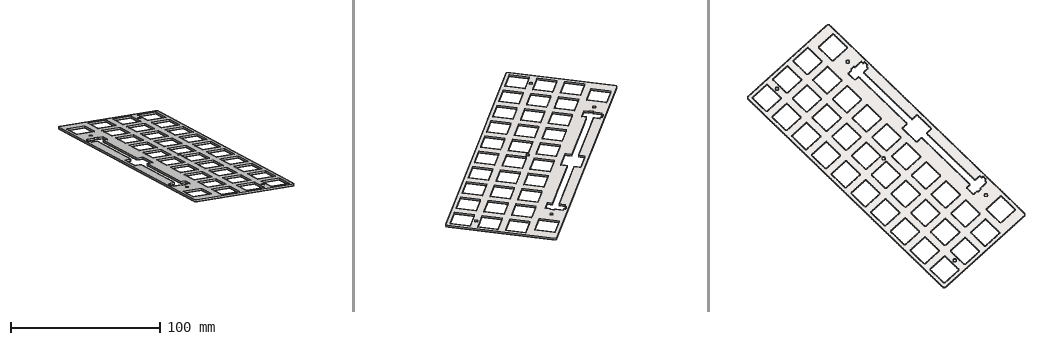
import cadquery as cq

key_pitch = 19.0
columns = 10
rows = 4
plate_length = columns * key_pitch
plate_width = rows * key_pitch
plate_thickness = 1.5
corner_radius = 1.3

switch_size = 14.0
full_rows = rows - 1
row_centre_y = [plate_width / 2 - (row + 0.5) * key_pitch for row in range(rows)]
bottom_row_y = row_centre_y[-1]
wide_key_length = 1.5 * key_pitch
wide_key_x = (plate_length - wide_key_length) / 2

stabiliser_x = 3 * key_pitch
stabiliser_length = 6.7
stabiliser_top = 5.7
stabiliser_bottom = -6.7
foot_length = 3.0
foot_bottom = -8.0
side_notch_reach = 4.2
side_notch_bottom = -0.5
wire_slot_width = 4.5

hole_diameter = 2.3
upper_hole_x = plate_length / 2 - key_pitch / 2
upper_hole_y = plate_width / 2 - key_pitch
lower_hole_x = plate_length / 2 - wide_key_length
centre_hole_y = 2.5


def cutter(x_min, x_max, y_min, y_max):
    """Rectangular block through the full plate thickness."""
    return (
        cq.Workplane("XY")
        .center((x_min + x_max) / 2, (y_min + y_max) / 2)
        .rect(x_max - x_min, y_max - y_min)
        .extrude(plate_thickness / 2, both=True)
    )


def make_plate():
    return (
        cq.Workplane("XY")
        .box(plate_length, plate_width, plate_thickness)
        .edges("|Z")
        .fillet(corner_radius)
    )


def switch_centres():
    """Full key grid on the upper rows, two wide keys and a spacebar on the bottom row."""
    centres = []
    for y in row_centre_y[:full_rows]:
        for column in range(columns):
            x = (column + 0.5) * key_pitch - plate_length / 2
            centres.append((x, y))
    for x in (-wide_key_x, 0, wide_key_x):
        centres.append((x, bottom_row_y))
    return centres


def right_stabiliser():
    """Stabiliser housing with its foot and outer side notch, right of the spacebar."""
    half_length = stabiliser_length / 2
    half_foot = foot_length / 2
    y = bottom_row_y
    housing = cutter(
        stabiliser_x - half_length, stabiliser_x + half_length, y + stabiliser_bottom, y + stabiliser_top
    )
    foot = cutter(stabiliser_x - half_foot, stabiliser_x + half_foot, y + foot_bottom, y)
    side_notch = cutter(
        stabiliser_x, stabiliser_x + side_notch_reach, y + side_notch_bottom, y + wire_slot_width / 2
    )
    return housing.union(foot).union(side_notch)


def spacebar_cutout():
    """Two mirrored stabilisers joined by the slot for the stabiliser wire."""
    half_slot = wire_slot_width / 2
    wire_slot = cutter(-stabiliser_x, stabiliser_x, bottom_row_y - half_slot, bottom_row_y + half_slot)
    stabiliser = right_stabiliser()
    return wire_slot.union(stabiliser).union(stabiliser.mirror("YZ"))


def hole_centres():
    return [
        (-upper_hole_x, upper_hole_y),
        (upper_hole_x, upper_hole_y),
        (0, centre_hole_y),
        (-lower_hole_x, bottom_row_y),
        (lower_hole_x, bottom_row_y),
    ]


result = (
    make_plate()
    .cut(spacebar_cutout())
    .faces(">Z")
    .workplane(origin=(0, 0, 0))
    .pushPoints(switch_centres())
    .rect(switch_size, switch_size)
    .cutThruAll()
    .faces(">Z")
    .workplane(origin=(0, 0, 0))
    .pushPoints(hole_centres())
    .hole(hole_diameter)
)